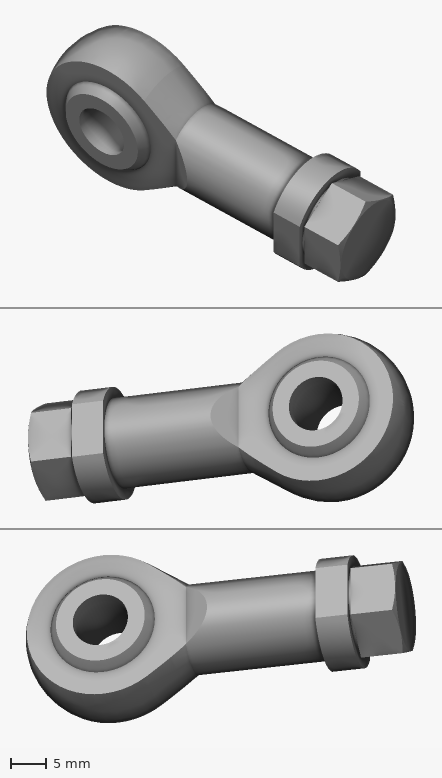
import cadquery as cq
import math


overall_length = 54.95
eye_diameter = 23.9
eye_radius = eye_diameter / 2
eye_width = 9.1
shank_diameter = 12.9
shank_radius = shank_diameter / 2
shank_start = 12.1
ramp_end = 15.6

collar_diameter = 16.1
collar_start = 31.5
collar_length = 4.65
collar_end = collar_start + collar_length
across_collar_flats = 14.0

hex_gap = 0.35
hex_start = collar_end + hex_gap
hex_end = overall_length - eye_radius
across_hex_flats = 12.75
hex_corner_radius = across_hex_flats / math.sqrt(3)
hex_face_radius = 6.25
hex_chamfer_length = 0.5

ball_width = 12.1
ball_face_diameter = 12.9
ball_radius = math.hypot(ball_width, ball_face_diameter) / 2
bore_diameter = 8.0


def make_spherical_ring(inner_radius):
    """Sphere with two flat faces and an axial hole along Y; an inner radius of 0 leaves it solid."""
    half_width = ball_width / 2
    face_radius = ball_face_diameter / 2
    return (
        cq.Workplane("XY")
        .moveTo(inner_radius, -half_width)
        .lineTo(face_radius, -half_width)
        .threePointArc((ball_radius, 0), (face_radius, half_width))
        .lineTo(inner_radius, half_width)
        .close()
        .revolve(360, (0, 0, 0), (0, 1, 0))
    )


def make_eye_and_shank():
    """Sphere, tangent cone and cylinder, flattened on both sides of the eye."""
    cone_end_distance = math.hypot(shank_start, shank_radius)
    tangent_angle = math.atan2(shank_radius, shank_start) + math.acos(eye_radius / cone_end_distance)
    tangent_x = eye_radius * math.cos(tangent_angle)
    tangent_y = eye_radius * math.sin(tangent_angle)
    turned = (
        cq.Workplane("XY")
        .moveTo(-eye_radius, 0)
        .threePointArc((0, eye_radius), (tangent_x, tangent_y))
        .lineTo(shank_start, shank_radius)
        .lineTo(hex_start, shank_radius)
        .lineTo(hex_start, 0)
        .close()
        .revolve(360, (0, 0, 0), (1, 0, 0))
    )
    half_width = eye_width / 2
    ramp_slope = (shank_radius - half_width) / (ramp_end - shank_start)
    outer_y = eye_diameter
    ramp_outer_x = shank_start + (outer_y - half_width) / ramp_slope
    side_stock = (
        cq.Workplane("XY")
        .polyline([
            (-eye_diameter, half_width),
            (shank_start, half_width),
            (ramp_outer_x, outer_y),
            (-eye_diameter, outer_y),
        ])
        .close()
        .extrude(eye_diameter, both=True)
    )
    return turned.cut(side_stock).cut(side_stock.mirror("XZ"))


def make_collar():
    disc = cq.Workplane("YZ").workplane(offset=collar_start).circle(collar_diameter / 2).extrude(collar_length)
    flats = (
        cq.Workplane("YZ")
        .workplane(offset=collar_start)
        .rect(across_collar_flats, collar_diameter)
        .extrude(collar_length)
    )
    return disc.intersect(flats)


def make_hex_end():
    """Hexagon with corners at +Z and -Z and a conical chamfer on its free end."""
    prism = (
        cq.Workplane("YZ")
        .workplane(offset=hex_start)
        .transformed(rotate=(0, 0, 90))
        .polygon(6, 2 * hex_corner_radius)
        .extrude(hex_end - hex_start)
    )
    chamfer_envelope = (
        cq.Workplane("XY")
        .polyline([
            (hex_start, 0),
            (hex_start, hex_corner_radius),
            (hex_end - hex_chamfer_length, hex_corner_radius),
            (hex_end, hex_face_radius),
            (hex_end, 0),
        ])
        .close()
        .revolve(360, (0, 0, 0), (1, 0, 0))
    )
    return prism.intersect(chamfer_envelope)


def make_housing():
    """Rod end with a spherical seat that matches the ball."""
    body = make_eye_and_shank().union(make_collar()).union(make_hex_end())
    return body.cut(make_spherical_ring(0))


housing = make_housing()
ball = make_spherical_ring(bore_diameter / 2)

result = cq.Compound.makeCompound([housing.solids().val(), ball.val()])